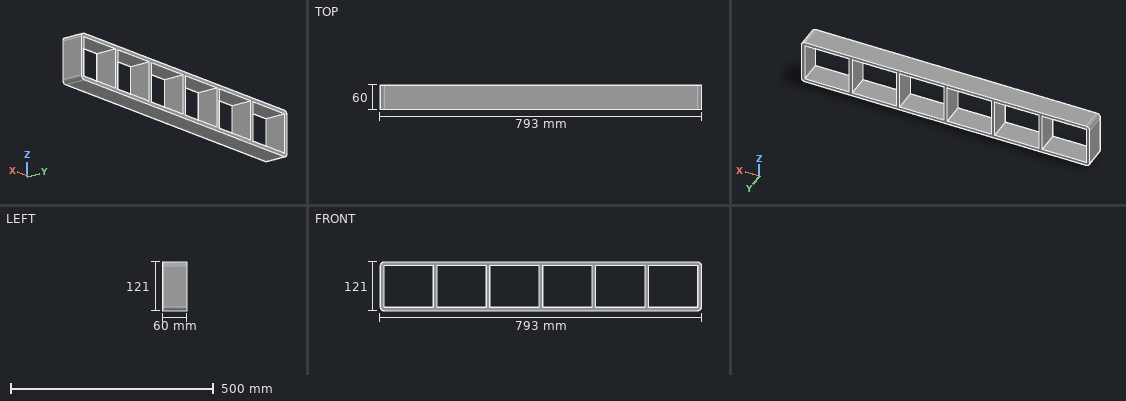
import cadquery as cq

length = 793.0
depth = 60.0
height = 121.0

wall = 9.5
corner_radius = 10.0
opening_count = 6

opening_width = (length - (opening_count + 1) * wall) / opening_count
opening_height = height - 2 * wall
opening_pitch = opening_width + wall

bar = cq.Workplane("XY").box(length, depth, height)
bar = bar.edges("|Y").fillet(corner_radius)

openings = (
    cq.Workplane("XZ")
    .rarray(opening_pitch, 8, opening_count, 1)
    .rect(opening_width, opening_height)
    .extrude(depth, both=True)
)

result = bar.cut(openings)